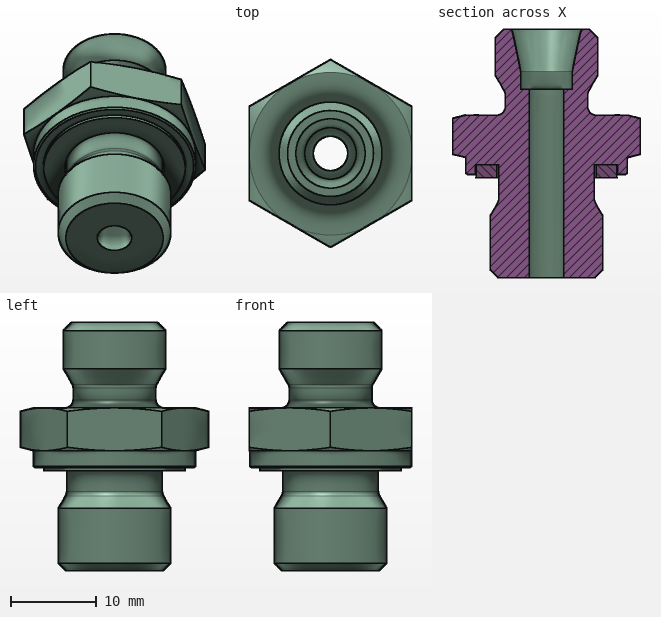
import cadquery as cq
import math

TOTAL_HEIGHT = 29.0
COLLAR_BOTTOM = 12.04
HEX_BOTTOM = 14.0
HEX_TOP = 19.0

HEX_ACROSS_FLATS = 19.0
HEX_CHAMFER_ANGLE = 15.0
ENVELOPE_MARGIN = 0.3

UPPER_DIAMETER = 12.0
UPPER_NECK_DIAMETER = 9.7
UPPER_CHAMFER = 1.0
UPPER_THREAD_BOTTOM = 23.58
UPPER_BLEND_RADIUS = 0.8
UPPER_ROOT_FILLET = 0.95

LOWER_DIAMETER = 13.17
LOWER_NECK_DIAMETER = 11.2
LOWER_CHAMFER = 0.9
LOWER_THREAD_TOP = 7.28
LOWER_BLEND_RADIUS = 1.13

RELIEF_ANGLE = 30.0

COLLAR_DIAMETER = 18.9
COLLAR_CHAMFER_HEIGHT = 0.15
COLLAR_CHAMFER_WIDTH = 0.23

RING_OUTER_DIAMETER = 16.5
RING_INNER_DIAMETER = 11.6
RING_HEIGHT = 1.5
RING_BOTTOM = 11.65
GROOVE_DIAMETER = 16.6
GROOVE_TOP = RING_BOTTOM + RING_HEIGHT

BORE_DIAMETER = 4.0
SOCKET_DIAMETER = 6.0
SOCKET_DEPTH = 7.0
MOUTH_DIAMETER = 8.1
MOUTH_HALF_ANGLE = 12.0


def slope(angle):
    """Tangent of an angle given in degrees."""
    return math.tan(math.radians(angle))


def blend_points(neck_radius, thread_radius, thread_end, blend_radius, direction):
    """Cone end, arc middle and neck start (radius, z) of a thread relief.

    direction is +1 when the neck lies above the thread and -1 when below.
    """
    def arc_point(angle):
        turn = math.radians(angle)
        radius = neck_radius + blend_radius * (1 - math.cos(turn))
        return radius, neck_start - direction * blend_radius * math.sin(turn)

    cone_radius = neck_radius + blend_radius * (1 - math.cos(math.radians(RELIEF_ANGLE)))
    cone_height = (thread_radius - cone_radius) / slope(RELIEF_ANGLE)
    arc_height = blend_radius * math.sin(math.radians(RELIEF_ANGLE))
    neck_start = thread_end + direction * (cone_height + arc_height)
    return arc_point(RELIEF_ANGLE), arc_point(RELIEF_ANGLE / 2), arc_point(0)


def revolve_about_z(profile):
    """Revolve a closed XZ profile around the Z axis."""
    return profile.close().revolve(360, (0, 0, 0), (0, 1, 0))


def make_upper_stud():
    radius = UPPER_DIAMETER / 2
    neck = UPPER_NECK_DIAMETER / 2
    cone_end, arc_middle, neck_start = blend_points(
        neck, radius, UPPER_THREAD_BOTTOM, UPPER_BLEND_RADIUS, -1
    )
    fillet_offset = UPPER_ROOT_FILLET * (1 - math.sqrt(0.5))
    profile = (
        cq.Workplane("XZ")
        .moveTo(0, TOTAL_HEIGHT)
        .lineTo(radius - UPPER_CHAMFER, TOTAL_HEIGHT)
        .lineTo(radius, TOTAL_HEIGHT - UPPER_CHAMFER)
        .lineTo(radius, UPPER_THREAD_BOTTOM)
        .lineTo(*cone_end)
        .threePointArc(arc_middle, neck_start)
        .lineTo(neck, HEX_TOP + UPPER_ROOT_FILLET)
        .threePointArc(
            (neck + fillet_offset, HEX_TOP + fillet_offset),
            (neck + UPPER_ROOT_FILLET, HEX_TOP),
        )
        .lineTo(0, HEX_TOP)
    )
    return revolve_about_z(profile)


def make_hexagon():
    """Hexagon with flats facing X and both ends chamfered by a cone."""
    corner_radius = HEX_ACROSS_FLATS / math.sqrt(3)
    flat_radius = HEX_ACROSS_FLATS / 2
    prism = (
        cq.Workplane("XY")
        .workplane(offset=HEX_BOTTOM)
        .polygon(6, 2 * corner_radius)
        .extrude(HEX_TOP - HEX_BOTTOM)
        .rotate((0, 0, 0), (0, 0, 1), 30)
    )
    envelope_radius = corner_radius + ENVELOPE_MARGIN
    drop = (envelope_radius - flat_radius) * slope(HEX_CHAMFER_ANGLE)
    envelope = revolve_about_z(
        cq.Workplane("XZ")
        .moveTo(0, HEX_BOTTOM)
        .lineTo(flat_radius, HEX_BOTTOM)
        .lineTo(envelope_radius, HEX_BOTTOM + drop)
        .lineTo(envelope_radius, HEX_TOP - drop)
        .lineTo(flat_radius, HEX_TOP)
        .lineTo(0, HEX_TOP)
    )
    return prism.intersect(envelope)


def make_lower_stud():
    """Lower stud together with the grooved collar it grows from."""
    radius = LOWER_DIAMETER / 2
    neck = LOWER_NECK_DIAMETER / 2
    collar = COLLAR_DIAMETER / 2
    groove = GROOVE_DIAMETER / 2
    cone_end, arc_middle, neck_start = blend_points(
        neck, radius, LOWER_THREAD_TOP, LOWER_BLEND_RADIUS, 1
    )
    profile = (
        cq.Workplane("XZ")
        .moveTo(0, 0)
        .lineTo(radius - LOWER_CHAMFER, 0)
        .lineTo(radius, LOWER_CHAMFER)
        .lineTo(radius, LOWER_THREAD_TOP)
        .lineTo(*cone_end)
        .threePointArc(arc_middle, neck_start)
        .lineTo(neck, GROOVE_TOP)
        .lineTo(groove, GROOVE_TOP)
        .lineTo(groove, COLLAR_BOTTOM)
        .lineTo(collar - COLLAR_CHAMFER_WIDTH, COLLAR_BOTTOM)
        .lineTo(collar, COLLAR_BOTTOM + COLLAR_CHAMFER_HEIGHT)
        .lineTo(collar, HEX_BOTTOM)
        .lineTo(0, HEX_BOTTOM)
    )
    return revolve_about_z(profile)


def make_bore():
    """Through bore opening into a tube socket with a conical mouth."""
    bore = BORE_DIAMETER / 2
    socket = SOCKET_DIAMETER / 2
    mouth = MOUTH_DIAMETER / 2
    socket_bottom = TOTAL_HEIGHT - SOCKET_DEPTH
    mouth_depth = (mouth - socket) / slope(MOUTH_HALF_ANGLE)
    profile = (
        cq.Workplane("XZ")
        .moveTo(0, 0)
        .lineTo(bore, 0)
        .lineTo(bore, socket_bottom)
        .lineTo(socket, socket_bottom)
        .lineTo(socket, TOTAL_HEIGHT - mouth_depth)
        .lineTo(mouth, TOTAL_HEIGHT)
        .lineTo(0, TOTAL_HEIGHT)
    )
    return revolve_about_z(profile)


def make_fitting():
    body = make_lower_stud().union(make_hexagon()).union(make_upper_stud())
    return body.cut(make_bore()).solids()


def make_sealing_ring():
    """Flat ring seated against the top of the collar groove."""
    return (
        cq.Workplane("XY")
        .workplane(offset=RING_BOTTOM)
        .circle(RING_OUTER_DIAMETER / 2)
        .circle(RING_INNER_DIAMETER / 2)
        .extrude(RING_HEIGHT)
    )


fitting = make_fitting()
sealing_ring = make_sealing_ring()
result = cq.Compound.makeCompound([fitting.val(), sealing_ring.val()])